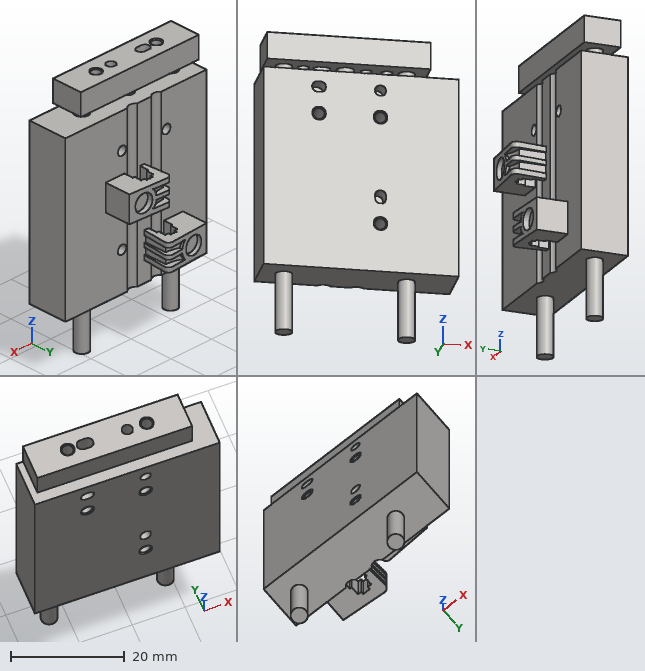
import cadquery as cq


housing_width = 35.0
housing_depth = 9.0
housing_height = 37.1
rod_x = 15.45
rod_y = housing_depth / 2

guide_diameter = 3.0
guide_offset = 11.0
guide_below = 10.9
piston_rod_diameter = 3.2
piston_rod_insertion = 16.5
plate_gap = 2.0

plate_left = 0.9
plate_width = 29.25
plate_depth = 7.0
plate_height = 5.0
plate_bottom = housing_height + plate_gap
plate_tap_offset = 7.5
plate_pin_x = 19.25
plate_pin_spacing = 8.0
plate_slot_length = 3.0

tap_diameter = 2.05
tap_mouth_diameter = 2.5
tap_chamfer = (tap_mouth_diameter - tap_diameter) / 2
chamfer_angle = 45
pin_diameter = 2.0
pin_depth = 3.0
pin_slot_length = 2.5
front_hole_offset = 5.5
lower_tap_z = 9.0
tap_rise = 20.0
pin_rise = 5.0

sensor_thickness = 6.05
sensor_reach = 9.55
sensor_overhang = 0.5
sensor_inner_height = 6.55
sensor_outer_height = 5.95
sensor_corner_radius = 1.0
lower_sensor_z = 7.75
upper_sensor_z = 21.2

channel_x = 2.95
channel_steps = [(3.85, 2.1), (2.95, 3.8), (1.5, 4.35)]
groove_diameter = 3.0
groove_depth = 0.6

relief_width = 1.55
relief_rib = 0.9
relief_wall_x = 0.35
relief_ledge_height = 5.05
relief_end_x = 3.95
relief_end_height = 6.05
relief_sag = 0.3
cut_margin = 0.55
hub_diameter = 6.0
recess_diameter = 4.0
recess_x = 6.15
recess_floor_height = 5.05


def box(x, y, z, width, depth, height):
    """Block with its lower front left corner at (x, y, z)."""
    return cq.Workplane("XY", origin=(x, y, z)).box(width, depth, height, centered=False)


def rod(x, diameter, bottom, top):
    """Upright cylinder on the middle plane of the housing."""
    return cq.Workplane("XY", origin=(x, rod_y, bottom)).circle(diameter / 2).extrude(top - bottom)


def tapped_hole(workplane, length):
    """Cutter for a hole with a chamfered mouth, starting on the workplane."""
    bore = workplane.circle(tap_diameter / 2).extrude(-length)
    mouth = workplane.circle(tap_mouth_diameter / 2).extrude(-tap_chamfer, taper=chamfer_angle)
    return bore.union(mouth)


def pin_slot(workplane, length, depth, angle=0):
    """Cutter for a slotted pin hole, starting on the workplane."""
    return workplane.slot2D(length, pin_diameter, angle).extrude(-depth)


def make_housing():
    housing = box(0, 0, 0, housing_width, housing_depth, housing_height)

    for side in (-1, 1):
        housing = housing.cut(rod(rod_x + side * guide_offset, guide_diameter, 0, housing_height))
    piston_bore_bottom = housing_height - piston_rod_insertion
    housing = housing.cut(rod(rod_x, piston_rod_diameter, piston_bore_bottom, housing_height))

    def front(side, z):
        return cq.Workplane("XZ", origin=(rod_x + side * front_hole_offset, 0, z))

    upper_tap_z = lower_tap_z + tap_rise
    for side, z in ((-1, upper_tap_z), (1, upper_tap_z), (1, lower_tap_z)):
        housing = housing.cut(tapped_hole(front(side, z), housing_depth))
    upper_pin_z = upper_tap_z + pin_rise
    lower_pin_z = lower_tap_z + pin_rise
    housing = housing.cut(front(1, upper_pin_z).circle(pin_diameter / 2).extrude(-pin_depth))
    housing = housing.cut(pin_slot(front(-1, upper_pin_z), pin_slot_length, pin_depth))
    housing = housing.cut(pin_slot(front(1, lower_pin_z), pin_slot_length, pin_depth, 90))

    groove_y = housing_depth - groove_depth + groove_diameter / 2
    for side in (-1, 1):
        groove = cq.Workplane("XY", origin=(rod_x + side * channel_x, groove_y, 0))
        housing = housing.cut(groove.circle(groove_diameter / 2).extrude(housing_height))
    return housing


def make_piston_plate():
    """End plate in one piece with the piston rod."""
    plate_front = rod_y - plate_depth / 2
    plate_top = plate_bottom + plate_height
    plate = box(plate_left, plate_front, plate_bottom, plate_width, plate_depth, plate_height)

    def top(x):
        return cq.Workplane("XY", origin=(x, rod_y, plate_top))

    for side in (-1, 1):
        plate = plate.cut(tapped_hole(top(rod_x + side * plate_tap_offset), plate_height))
    plate = plate.cut(top(plate_pin_x).circle(pin_diameter / 2).extrude(-plate_height))
    slot_x = plate_pin_x - plate_pin_spacing
    plate = plate.cut(pin_slot(top(slot_x), plate_slot_length, plate_height))

    piston_rod_bottom = housing_height - piston_rod_insertion
    return plate.union(rod(rod_x, piston_rod_diameter, piston_rod_bottom, plate_bottom))


def make_guide_rod(side):
    return rod(rod_x + side * guide_offset, guide_diameter, -guide_below, plate_bottom)


def relief_slots():
    """Cutter for the two relief slots, which stop at the round hub."""
    chord_middle = ((relief_wall_x + relief_end_x) / 2, (relief_ledge_height + relief_end_height) / 2)
    outside_x = -sensor_overhang - cut_margin
    above = sensor_inner_height + cut_margin
    hub = (
        cq.Workplane("XZ", origin=(recess_x, 0, 0))
        .circle(hub_diameter / 2)
        .extrude(-above)
    )
    slots = cq.Workplane()
    for side in (-1, 1):
        middle_z = side * (relief_rib + relief_width) / 2
        slot = (
            cq.Workplane("XY", origin=(0, 0, middle_z - relief_width / 2))
            .moveTo(outside_x, 0)
            .lineTo(relief_wall_x, 0)
            .lineTo(relief_wall_x, relief_ledge_height)
            .threePointArc(
                (chord_middle[0], chord_middle[1] - relief_sag),
                (relief_end_x, relief_end_height),
            )
            .lineTo(relief_end_x, above)
            .lineTo(outside_x, above)
            .close()
            .extrude(relief_width)
        )
        slots = slots.add(slot.cut(hub))
    return slots


def make_sensor(side, middle_z):
    """Sensor on the back face, reaching to the right (side 1) or to the left (side -1)."""
    sensor = (
        cq.Workplane("XY", origin=(0, 0, -sensor_thickness / 2))
        .polyline([
            (0, 0),
            (sensor_reach, 0),
            (sensor_reach, sensor_outer_height),
            (-sensor_overhang, sensor_inner_height),
        ])
        .close()
        .extrude(sensor_thickness)
        .edges("|Z and <X")
        .fillet(sensor_corner_radius)
    )
    for width, step_top in channel_steps:
        step = box(channel_x - width / 2, 0, -sensor_thickness / 2, width, step_top, sensor_thickness)
        sensor = sensor.cut(step)
    for slot in relief_slots().vals():
        sensor = sensor.cut(cq.Workplane(slot))
    recess = (
        cq.Workplane("XZ", origin=(recess_x, recess_floor_height, 0))
        .circle(recess_diameter / 2)
        .extrude(recess_floor_height - sensor_inner_height)
    )
    sensor = sensor.cut(recess)
    if side < 0:
        sensor = sensor.rotate((0, 0, 0), (0, 1, 0), 180)
    return sensor.translate((rod_x, housing_depth, middle_z))


housing = make_housing()
piston_plate = make_piston_plate()
guide_rods = [make_guide_rod(side) for side in (-1, 1)]
sensors = [make_sensor(side, z) for side, z in ((-1, lower_sensor_z), (1, upper_sensor_z))]

result = cq.Compound.makeCompound([
    housing.solids().val(),
    piston_plate.solids().val(),
    *[guide_rod.solids().val() for guide_rod in guide_rods],
    *[sensor.solids().val() for sensor in sensors],
])